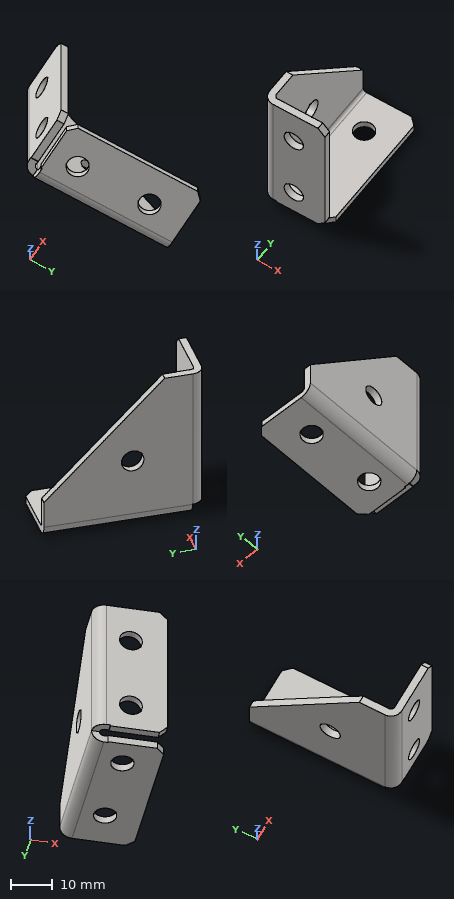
import cadquery as cq

length = 40.0
flange_width = 18.0
thickness = 2.0
inner_radius = 1.0
outer_radius = inner_radius + thickness
flange_chamfer = 2.0
relief_start = 4.0
relief_step = 0.3
hole_diameter = 5.5
flange_hole_x = flange_width / 2
flange_holes = (length / 4, 3 * length / 4)
side_hole = 17.9
side_land = 10.0


def side_plate():
    """Plate in the YZ plane with its far corner cut off."""
    outline = [
        (outer_radius, outer_radius),
        (length, outer_radius),
        (length, side_land),
        (side_land, length),
        (outer_radius, length),
    ]
    plate = cq.Workplane("YZ").polyline(outline).close().extrude(thickness)
    hole = (
        cq.Workplane("YZ")
        .center(side_hole, side_hole)
        .circle(hole_diameter / 2)
        .extrude(thickness)
    )
    return plate.cut(hole)


def bottom_bend():
    """Quarter-round bend along Y joining the side plate to the bottom flange."""
    centre = cq.Vector(outer_radius, outer_radius)
    diagonal = cq.Vector(-1, -1).normalized()
    outer_mid = centre + diagonal * outer_radius
    inner_mid = centre + diagonal * inner_radius
    return (
        cq.Workplane("XZ", origin=(0, outer_radius, 0))
        .moveTo(0, outer_radius)
        .threePointArc((outer_mid.x, outer_mid.y), (outer_radius, 0))
        .lineTo(outer_radius, thickness)
        .threePointArc((inner_mid.x, inner_mid.y), (thickness, outer_radius))
        .close()
        .extrude(-(length - outer_radius))
    )


def bottom_flange():
    """Flat flange in the XY plane with two chamfered corners and two holes."""
    near_edge = outer_radius - relief_step
    outline = [
        (outer_radius, outer_radius),
        (relief_start, outer_radius),
        (relief_start, near_edge),
        (flange_width - flange_chamfer, near_edge),
        (flange_width, near_edge + flange_chamfer),
        (flange_width, length - flange_chamfer),
        (flange_width - flange_chamfer, length),
        (outer_radius, length),
    ]
    flange = cq.Workplane("XY").polyline(outline).close().extrude(thickness)
    holes = (
        cq.Workplane("XY")
        .pushPoints([(flange_hole_x, y) for y in flange_holes])
        .circle(hole_diameter / 2)
        .extrude(thickness)
    )
    return flange.cut(holes)


def swap_y_and_z(body):
    """Mirror a body across the plane Y = Z."""
    return body.rotate((0, 0, 0), (1, 0, 0), 90).mirror("XZ")


bottom = bottom_bend().union(bottom_flange())
front = swap_y_and_z(bottom)
result = side_plate().union(bottom).union(front)